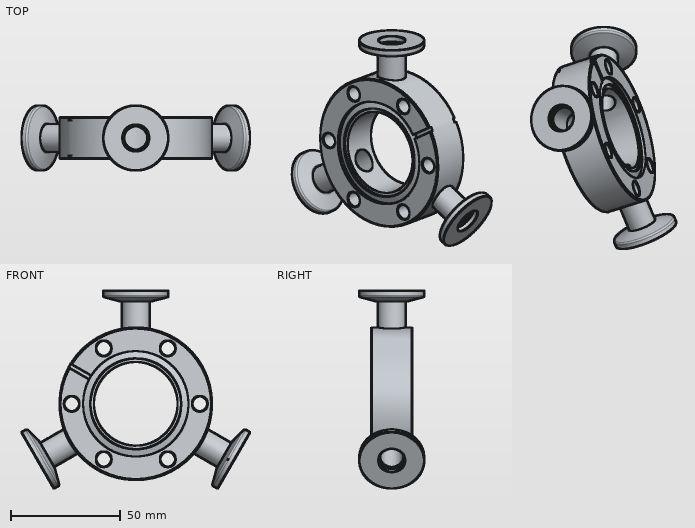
import cadquery as cq
import math

RING_DIA = 69.9
RING_WIDTH = 19.2
RING_BORE_DIA = 38.2
RIM_CHAMFER = 0.5

RECESS_DIA = 48.3
RECESS_DEPTH = 1.6
KNIFE_DIA = 41.8
KNIFE_HEIGHT = 1.2
KNIFE_BASE_DIA = 41.4
SHELF_DEPTH = 1.2

BOLT_COUNT = 6
BOLT_CIRCLE_DIA = 58.6
BOLT_HOLE_DIA = 6.7
BOLT_HOLE_CHAMFER = 0.3

GROOVE_WIDTH = 2.0
GROOVE_DEPTH = RECESS_DEPTH
GROOVE_ANGLE = 150

PORT_COUNT = 3
PORT_REACH = 51.9
TUBE_DIA = 12.9
TUBE_BORE_DIA = 10.6
TUBE_SOCKET_DEPTH = 3.0

FLANGE_DIA = 29.9
FLANGE_BORE_DIA = 12.0
FLANGE_BORE_DEPTH = 2.6
FLANGE_LIP_DIA = 11.5
FLANGE_LIP_THICKNESS = 0.7
FLANGE_EDGE_CHAMFER = 0.2
FLANGE_THICKNESS = 5.1
FLANGE_CORNER_RADIUS = 0.9
FLANGE_HUB_DIA = 14.3
FLANGE_CONE_ANGLE = 15

ring_radius = RING_DIA / 2
half_width = RING_WIDTH / 2
flange_back = PORT_REACH - FLANGE_THICKNESS
lip_top = PORT_REACH - FLANGE_BORE_DEPTH
tube_outer_end = lip_top - FLANGE_LIP_THICKNESS
tube_inner_end = ring_radius - TUBE_SOCKET_DEPTH
port_angles = [i * 360 / PORT_COUNT for i in range(PORT_COUNT)]


def y_cylinder(diameter, length):
    """Cylinder along Y, centred on the origin."""
    return cq.Workplane("XZ").circle(diameter / 2).extrude(length / 2, both=True)


def z_cylinder(diameter, bottom, top):
    """Cylinder along Z between two heights."""
    return cq.Workplane("XY").workplane(offset=bottom).circle(diameter / 2).extrude(top - bottom)


def to_port(body, angle):
    """Turn a body built along +Z about the ring axis to a port angle."""
    return body.rotate((0, 0, 0), (0, 1, 0), angle)


def ring_blank():
    """Revolve the ring section, with the knife edges, about Y."""
    recess_floor = half_width - RECESS_DEPTH
    knife_tip = recess_floor + KNIFE_HEIGHT
    shelf = half_width - SHELF_DEPTH
    front_half = [
        (RING_BORE_DIA / 2, shelf),
        (KNIFE_BASE_DIA / 2, shelf),
        (KNIFE_DIA / 2, knife_tip),
        (RECESS_DIA / 2, recess_floor),
        (RECESS_DIA / 2, half_width),
        (ring_radius - RIM_CHAMFER, half_width),
        (ring_radius, half_width - RIM_CHAMFER),
    ]
    back_half = [(radius, -y) for radius, y in reversed(front_half)]
    section = cq.Workplane("XY").polyline(front_half + back_half).close()
    return section.revolve(360, (0, 0, 0), (0, 1, 0))


def bolt_hole():
    """Through hole with a small chamfer at both ends, as a cutting tool on the ring axis."""
    radius = BOLT_HOLE_DIA / 2
    mouth = radius + BOLT_HOLE_CHAMFER
    throat = half_width - BOLT_HOLE_CHAMFER
    section = cq.Workplane("XY").polyline([
        (0, half_width), (mouth, half_width), (radius, throat),
        (radius, -throat), (mouth, -half_width), (0, -half_width),
    ]).close()
    return section.revolve(360, (0, 0, 0), (0, 1, 0))


def leak_groove(side):
    """Radial slot from the seal recess out through the rim; side is -1 or +1 along Y."""
    groove = cq.Workplane("XY").box(RING_DIA, 2 * GROOVE_DEPTH, GROOVE_WIDTH)
    groove = groove.translate((ring_radius, side * half_width, 0))
    groove = groove.cut(y_cylinder(RECESS_DIA, 2 * RING_WIDTH))
    return groove.rotate((0, 0, 0), (0, 1, 0), -GROOVE_ANGLE)


def ring_housing():
    """Ring with its bolt holes, leak-check grooves and stepped tube sockets."""
    ring = ring_blank()
    for i in range(BOLT_COUNT):
        hole = bolt_hole().translate((BOLT_CIRCLE_DIA / 2, 0, 0))
        ring = ring.cut(hole.rotate((0, 0, 0), (0, 1, 0), i * 360 / BOLT_COUNT))
    for side in (-1, 1):
        ring = ring.cut(leak_groove(side))
    for angle in port_angles:
        ring = ring.cut(to_port(z_cylinder(TUBE_DIA, tube_inner_end, PORT_REACH), angle))
        ring = ring.cut(to_port(z_cylinder(TUBE_BORE_DIA, 0, PORT_REACH), angle))
    return ring


def port_tube(angle):
    """Plain tube running from its socket in the ring to the stop lip in its clamp flange."""
    tube = z_cylinder(TUBE_DIA, tube_inner_end, tube_outer_end)
    tube = tube.cut(z_cylinder(TUBE_BORE_DIA, tube_inner_end, tube_outer_end))
    return to_port(tube, angle)


def flange_blank():
    """Disc with a conical back and a rounded rear rim, along +Z."""
    rim_radius = FLANGE_DIA / 2
    hub_radius = FLANGE_HUB_DIA / 2
    cone_rise = (rim_radius - hub_radius) * math.tan(math.radians(FLANGE_CONE_ANGLE))
    rim_rear = flange_back + cone_rise
    profile = cq.Workplane("XZ").polyline([
        (0, PORT_REACH),
        (rim_radius, PORT_REACH),
        (rim_radius, rim_rear),
        (hub_radius, flange_back),
        (0, flange_back),
    ]).close()
    blank = profile.revolve(360, (0, 0, 0), (0, 1, 0))
    rear_rim = cq.selectors.BoxSelector(
        (-FLANGE_DIA, -FLANGE_DIA, rim_rear - cone_rise / 2),
        (FLANGE_DIA, FLANGE_DIA, rim_rear + cone_rise / 2),
    )
    return blank.edges("%CIRCLE").edges(rear_rim).fillet(FLANGE_CORNER_RADIUS)


def clamp_flange(angle):
    """Clamp flange with a chamfered bore, a stop lip and a rear socket for the tube."""
    flange = flange_blank()
    flange = flange.cut(z_cylinder(FLANGE_BORE_DIA, lip_top, PORT_REACH))
    flange = flange.cut(z_cylinder(FLANGE_LIP_DIA, tube_outer_end, lip_top))
    flange = flange.cut(z_cylinder(TUBE_DIA, flange_back, tube_outer_end))
    flange = flange.faces(">Z").edges().chamfer(FLANGE_EDGE_CHAMFER)
    return to_port(flange, angle)


housing = ring_housing()
tubes = [port_tube(angle) for angle in port_angles]
flanges = [clamp_flange(angle) for angle in port_angles]

result = cq.Compound.makeCompound([
    housing.solids().val(),
    *[tube.solids().val() for tube in tubes],
    *[flange.solids().val() for flange in flanges],
])